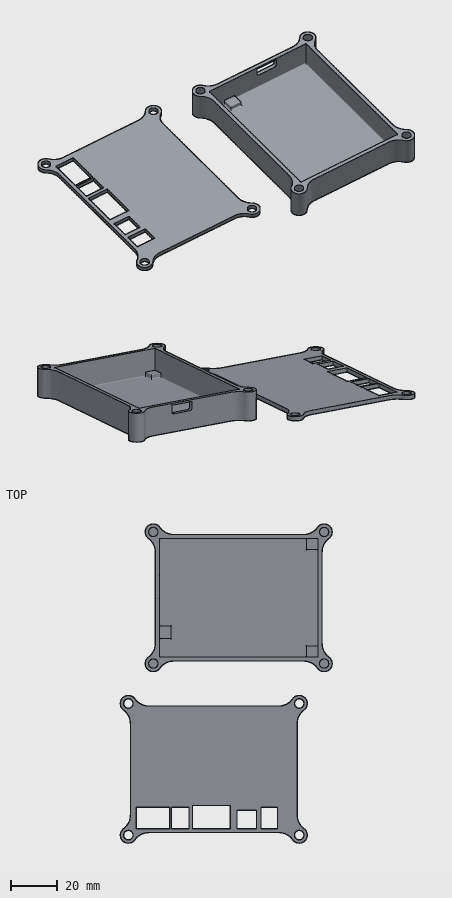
import cadquery as cq
import math

wall_length = 71.3
wall_width = 54.1
screw_spacing_x = 73.0
screw_spacing_y = 56.2
boss_diameter = 7.0
boss_radius = boss_diameter / 2
neck_radius = 7.1
screw_hole_diameter = 4.0

tray_height = 13.0
floor_thickness = 1.2
wall_thickness = 1.8
pocket_length = wall_length - 2 * wall_thickness
pocket_width = wall_width - 2 * wall_thickness

pad_height = 1.9
corner_pad_length = 4.9
corner_pad_width = 4.8
side_pad_length = 4.9
side_pad_width = 5.3
side_pad_y = -14.7

floor_blend_radius = 0.3
pad_top_radius = 0.1
level_tolerance = 0.01

slot_width = 10.0
slot_height = 4.0
slot_top_gap = 0.8
slot_corner_radius = 1.0
slot_y = 4.8

lid_thickness = 1.9
lid_shift_x = -10.6
lid_shift_y = -73.2
window_base_y = -pocket_width / 2
windows = [
    (-33.0, 14.2, 9.0),
    (-18.0, 7.4, 9.0),
    (-9.0, 16.0, 9.8),
    (10.0, 8.2, 7.8),
    (20.2, 7.0, 9.0),
]


def eared_plate(height):
    """Rectangle with a round boss at each corner, blended in by concave arcs."""
    boss_x = screw_spacing_x / 2
    boss_y = screw_spacing_y / 2
    side_x = wall_length / 2
    side_y = wall_width / 2

    reach = boss_radius + neck_radius
    upper_y = side_y + neck_radius
    upper_x = boss_x - math.sqrt(reach**2 - (upper_y - boss_y) ** 2)
    right_x = side_x + neck_radius
    right_y = boss_y - math.sqrt(reach**2 - (right_x - boss_x) ** 2)

    share = boss_radius / reach
    upper_touch = (boss_x + share * (upper_x - boss_x), boss_y + share * (upper_y - boss_y))
    right_touch = (boss_x + share * (right_x - boss_x), boss_y + share * (right_y - boss_y))

    diagonal = boss_radius * math.sqrt(0.5)
    boss_tip = (boss_x + diagonal, boss_y + diagonal)

    def on_neck(center_x, center_y, touch, wall_point):
        """Point halfway along a concave arc."""
        mid_x = (touch[0] + wall_point[0]) / 2 - center_x
        mid_y = (touch[1] + wall_point[1]) / 2 - center_y
        stretch = neck_radius / math.hypot(mid_x, mid_y)
        return (center_x + stretch * mid_x, center_y + stretch * mid_y)

    upper_end = (upper_x, side_y)
    right_end = (side_x, right_y)
    quarter = (
        cq.Workplane("XY")
        .moveTo(0, 0)
        .lineTo(0, side_y)
        .lineTo(*upper_end)
        .threePointArc(on_neck(upper_x, upper_y, upper_touch, upper_end), upper_touch)
        .threePointArc(boss_tip, right_touch)
        .threePointArc(on_neck(right_x, right_y, right_touch, right_end), right_end)
        .lineTo(side_x, 0)
        .close()
        .extrude(height)
    )
    half = quarter.union(quarter.mirror("YZ"))
    return half.union(half.mirror("XZ")).clean()


def screw_holes(bottom, top):
    return (
        cq.Workplane("XY", origin=(0, 0, bottom))
        .rect(screw_spacing_x, screw_spacing_y, forConstruction=True)
        .vertices()
        .circle(screw_hole_diameter / 2)
        .extrude(top - bottom)
    )


def floor_pad(length, width, center_x, center_y):
    return (
        cq.Workplane("XY", origin=(center_x, center_y, floor_thickness))
        .rect(length, width)
        .extrude(pad_height)
    )


def connector_slot():
    center_z = tray_height - slot_top_gap - slot_height / 2
    center_x = -(wall_length - wall_thickness) / 2
    return (
        cq.Workplane("XY", origin=(center_x, slot_y, center_z))
        .box(wall_thickness, slot_width, slot_height)
        .edges("|X and <Z")
        .fillet(slot_corner_radius)
    )


def blend_floor(tray):
    """Fillet the edges where the walls and the pads meet the pocket floor."""
    floor_edges = cq.selectors.BoxSelector(
        (-wall_length / 2, -wall_width / 2, floor_thickness - level_tolerance),
        (wall_length / 2, wall_width / 2, floor_thickness + level_tolerance),
    )
    return tray.edges(floor_edges).fillet(floor_blend_radius)


def round_pad_tops(tray):
    """Round the pad top edges that stand clear of the walls."""
    clear_x = pocket_length / 2 - wall_thickness
    clear_y = pocket_width / 2 - wall_thickness
    pad_top = floor_thickness + pad_height
    free_edges = cq.selectors.BoxSelector(
        (-clear_x, -clear_y, pad_top - level_tolerance),
        (clear_x, clear_y, pad_top + level_tolerance),
    )
    return tray.edges(free_edges).fillet(pad_top_radius)


def make_tray():
    pocket = (
        cq.Workplane("XY", origin=(0, 0, floor_thickness))
        .rect(pocket_length, pocket_width)
        .extrude(tray_height - floor_thickness)
    )
    tray = eared_plate(tray_height).cut(pocket).cut(screw_holes(floor_thickness, tray_height))

    corner_pad_x = (pocket_length - corner_pad_length) / 2
    corner_pad_y = (pocket_width - corner_pad_width) / 2
    for pad_y in (-corner_pad_y, corner_pad_y):
        tray = tray.union(floor_pad(corner_pad_length, corner_pad_width, corner_pad_x, pad_y))
    side_pad_x = -(pocket_length - side_pad_length) / 2
    tray = tray.union(floor_pad(side_pad_length, side_pad_width, side_pad_x, side_pad_y))

    tray = blend_floor(tray)
    tray = round_pad_tops(tray)
    return tray.cut(connector_slot())


def make_lid():
    lid = eared_plate(lid_thickness).cut(screw_holes(0, lid_thickness))
    for left_x, length, width in windows:
        window = (
            cq.Workplane("XY", origin=(left_x, window_base_y, 0))
            .rect(length, width, centered=False)
            .extrude(lid_thickness)
        )
        lid = lid.cut(window)
    return lid.translate((lid_shift_x, lid_shift_y, 0))


tray = make_tray()
lid = make_lid()
result = cq.Compound.makeCompound([tray.solids().val(), lid.solids().val()])